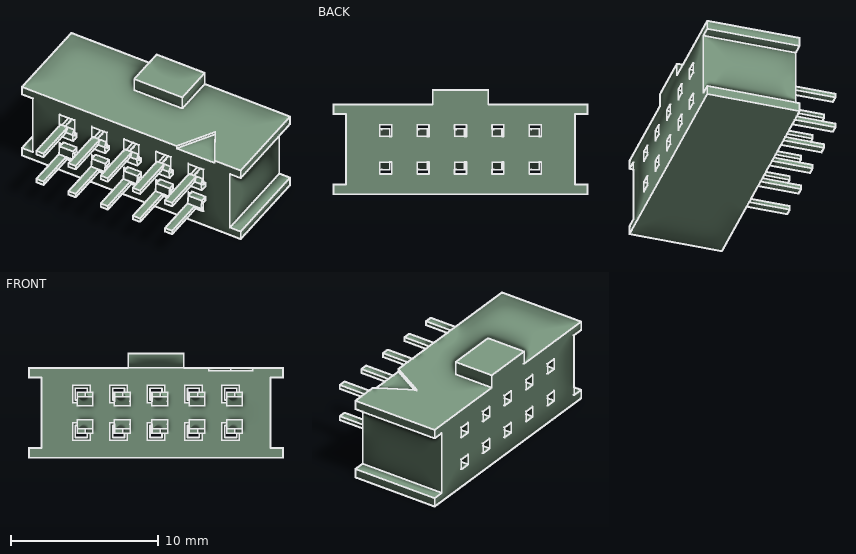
import cadquery as cq

housing_length = 17.26
housing_depth = 6.6
housing_height = 6.11
flange_thickness = 0.67
flange_overhang = 0.85

tab_length = 3.8
tab_depth = 3.0
tab_height = 0.98

pitch = 2.54
columns = 5
column_positions = [(i - (columns - 1) / 2) * pitch for i in range(columns)]

cavity_size = 1.19
entry_size = 0.8
back_wall = 1.0
cavity_depth = housing_depth - back_wall

mark_width = 3.0
mark_reach = 2.6
mark_depth = 0.2

pin_thickness = 0.31
root_inner_height = 0.47
root_width = 1.07
lead_inner_height = 1.09
lead_width = 0.57
pin_projection = 3.6
root_inner_length = 0.5
root_outer_length = 0.28
jog_lean = 0.1

root_outer_height = root_inner_height + pin_thickness
lead_outer_height = lead_inner_height + pin_thickness
jog_inner_end = root_inner_length + jog_lean
jog_outer_end = root_outer_length + jog_lean


def box_between(x_range, y_range, z_range):
    """Box spanning the given (low, high) range on each axis."""
    spans = [high - low for low, high in (x_range, y_range, z_range)]
    corner = (x_range[0], y_range[0], z_range[0])
    return cq.Workplane("XY").box(*spans, centered=False).translate(corner)


def make_housing():
    block = cq.Workplane("XY").box(housing_length, housing_depth, housing_height)
    web_height = housing_height - 2 * flange_thickness
    for side in (-1, 1):
        recess = cq.Workplane("XY").box(flange_overhang, housing_depth, web_height)
        block = block.cut(recess.translate((side * (housing_length - flange_overhang) / 2, 0, 0)))
    return block.translate((0, housing_depth / 2, 0))


def make_tab():
    return box_between(
        (-tab_length / 2, tab_length / 2),
        (housing_depth - tab_depth, housing_depth),
        (housing_height / 2, housing_height / 2 + tab_height),
    )


def make_mark():
    """Triangle centred on the last contact column, pointing away from the pin face."""
    centre = column_positions[-1]
    return (
        cq.Workplane("XY")
        .workplane(offset=housing_height / 2 - mark_depth)
        .polyline([(centre - mark_width / 2, 0), (centre + mark_width / 2, 0), (centre, mark_reach)])
        .close()
        .extrude(mark_depth)
    )


def make_opening(x, z):
    cavity = cq.Workplane("XY").box(cavity_size, cavity_depth, cavity_size)
    entry = cq.Workplane("XY").box(entry_size, housing_depth, entry_size)
    opening = cavity.translate((0, cavity_depth / 2, 0)).union(entry.translate((0, housing_depth / 2, 0)))
    return opening.translate((x, 0, z))


def make_upper_pin(x):
    """Pin of the upper row; its left edge is straight and the root is wider on the right."""
    left = x - lead_width / 2
    root_and_jog = (
        cq.Workplane("YZ")
        .workplane(offset=left)
        .polyline([
            (cavity_depth, root_inner_height),
            (-root_inner_length, root_inner_height),
            (-jog_inner_end, lead_inner_height),
            (-jog_outer_end, lead_outer_height),
            (-root_outer_length, root_outer_height),
            (cavity_depth, root_outer_height),
        ])
        .close()
        .extrude(root_width)
    )
    lead = (
        cq.Workplane("YZ")
        .workplane(offset=left)
        .polyline([
            (-jog_outer_end, lead_outer_height),
            (-pin_projection, lead_outer_height),
            (-pin_projection, lead_inner_height),
            (-jog_inner_end, lead_inner_height),
        ])
        .close()
        .extrude(lead_width)
    )
    return root_and_jog.union(lead)


result = make_housing().union(make_tab()).cut(make_mark())

for x in column_positions:
    for z in (-pitch / 2, pitch / 2):
        result = result.cut(make_opening(x, z))

for x in column_positions:
    upper_pin = make_upper_pin(x)
    result = result.union(upper_pin).union(upper_pin.mirror("XY"))